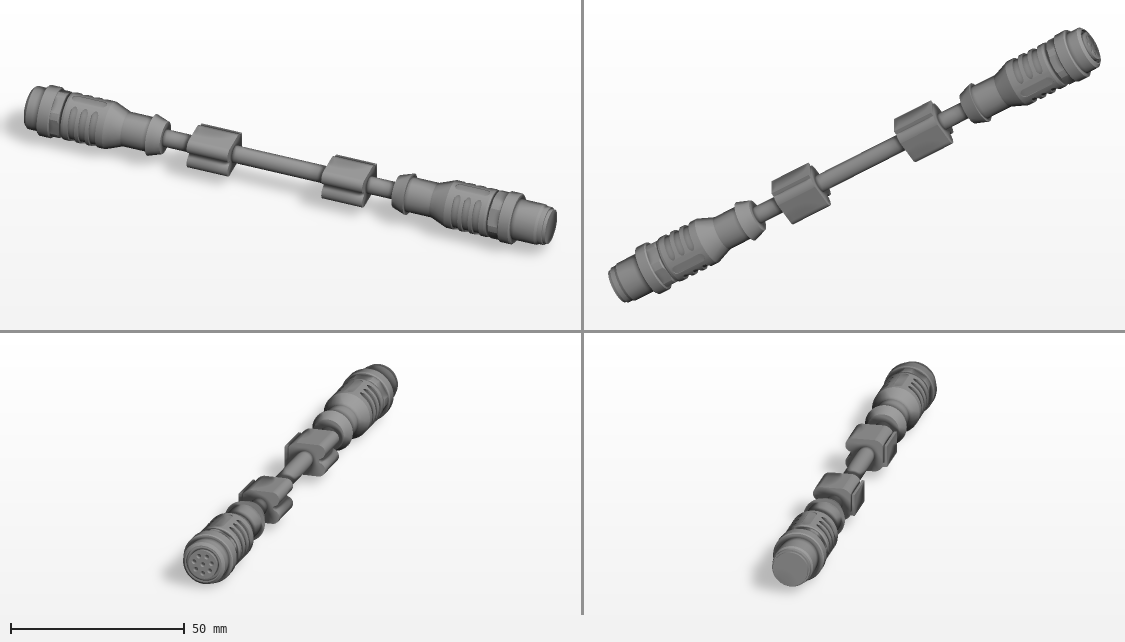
import cadquery as cq
import math

LENGTH = 160.0
CABLE_DIA = 5.1

PLUG_START = 41.8
MALE_PLUG_START = 47.2
FLARE_SMALL_DIA = 9.6
FLARE_DIA = 12.3
BODY_DIA = 10.2
GRIP_DIA = 14.0
FLARE_LENGTH = 4.0
CONE_START = 11.8
GRIP_START = 16.8
GRIP_END = 29.6
GRIP_CHAMFER_LENGTH = 0.6
GRIP_CHAMFER_DEPTH = 0.2
NECK_DIA = 8.6

RECESS_CENTER = 23.2
RIB_PITCH = 3.2
RIB_COUNT = 3
RIB_WIDTH = 2.0
RIB_DEPTH = 0.6
RIB_HALF_LENGTH = 6.4
PAD_LENGTH = 10.5
PAD_WIDTH = 2.7
PAD_DEPTH = 0.3

HEX_FLATS = 13.1
HEX_CORNER_DIA = 14.0
HEX_CHAMFER = 0.3
COLLAR_DIA = 15.0
COLLAR_CHAMFER = 0.3
FEMALE_HEX_START = 30.4
FEMALE_COLLAR_START = 33.1
FEMALE_COLLAR_END = 37.0
MALE_HEX_START = 30.0
MALE_COLLAR_START = 33.3
MALE_COLLAR_END = 37.0

SLEEVE_DIA = 12.8
SLEEVE_SETBACK = 0.5
SLEEVE_CHAMFER = 0.8
SLEEVE_BORE_DIA = 10.5
SEAL_DEPTH = 0.8
INSERT_DIA = 8.6
CONTACT_DIA = 0.85
CONTACT_MOUTH_DIA = 1.5
CONTACT_CIRCLE_DIA = 5.5
CONTACT_COUNT = 7
CONTACT_DEPTH = 4.8

THREAD_DIA = 12.0
LEAD_DIA = 11.2
TIP_DIA = 10.2
THREAD_SETBACK = 3.2
LEAD_SETBACK = 2.4
TIP_SETBACK = 1.0

CLIP_STARTS = (50.5, 91.8)
CLIP_LENGTH = 12.5
CLIP_HEIGHT = 9.6
CLIP_WIDTH = 12.3
LOBE_RADIUS = 2.0
MOUTH_HALF_HEIGHT = 0.72
MOUTH_EDGE_DEPTH = 1.3
MOUTH_DEPTH = 2.0
SHOULDER_Y = 2.5
SHOULDER_BULGE = 0.24
LABEL_SIDE_HALF_HEIGHT = 3.2
LABEL_SLOT_WIDTH = 0.5
LABEL_TAB_THICKNESS = 0.8
LABEL_SLOT_DEPTH = 5.5


def cylinder(start, end, diameter):
    """Solid cylinder on the X axis."""
    return cq.Workplane("YZ", origin=(start, 0, 0)).circle(diameter / 2).extrude(end - start)


def handle():
    """Moulded handle with its cable side at x = 0 and its grip towards +X."""
    outline = (
        cq.Workplane("XY")
        .lineTo(0, FLARE_SMALL_DIA / 2)
        .lineTo(FLARE_LENGTH, FLARE_DIA / 2)
        .lineTo(FLARE_LENGTH, BODY_DIA / 2)
        .lineTo(CONE_START, BODY_DIA / 2)
        .lineTo(GRIP_START, GRIP_DIA / 2)
        .lineTo(GRIP_END - GRIP_CHAMFER_LENGTH, GRIP_DIA / 2)
        .lineTo(GRIP_END, GRIP_DIA / 2 - GRIP_CHAMFER_DEPTH)
        .lineTo(GRIP_END, 0)
        .close()
    )
    body = outline.revolve(360, (0, 0, 0), (1, 0, 0))

    rib_centers = [
        (RECESS_CENTER + (i - (RIB_COUNT - 1) / 2) * RIB_PITCH, 0) for i in range(RIB_COUNT)
    ]
    grooves = (
        cq.Workplane("XZ")
        .pushPoints(rib_centers)
        .slot2D(2 * RIB_HALF_LENGTH, RIB_WIDTH, 90)
        .extrude(GRIP_DIA, both=True)
        .cut(cylinder(0, GRIP_END, GRIP_DIA - 2 * RIB_DEPTH))
    )

    pad = (
        cq.Workplane("XY", origin=(RECESS_CENTER, 0, GRIP_DIA / 2 - PAD_DEPTH))
        .slot2D(PAD_LENGTH, PAD_WIDTH)
        .extrude(GRIP_DIA)
    )
    return body.cut(grooves).cut(pad).cut(pad.mirror("XY"))


def coupling(hex_start, collar_start, collar_end, hex_turn):
    """Neck, hexagon and collar of a coupling nut, continuing a handle towards +X."""
    corners = HEX_FLATS / math.cos(math.radians(30))
    blank_outline = (
        cq.Workplane("XY", origin=(hex_start, 0, 0))
        .lineTo(0, HEX_CORNER_DIA / 2 - HEX_CHAMFER)
        .lineTo(HEX_CHAMFER, HEX_CORNER_DIA / 2)
        .lineTo(collar_start - hex_start, HEX_CORNER_DIA / 2)
        .lineTo(collar_start - hex_start, 0)
        .close()
    )
    blank = blank_outline.revolve(360, (0, 0, 0), (1, 0, 0))
    hexagon = (
        cq.Workplane("YZ", origin=(hex_start, 0, 0))
        .polygon(6, corners)
        .extrude(collar_start - hex_start)
        .rotate((0, 0, 0), (1, 0, 0), hex_turn)
    )
    neck = cylinder(GRIP_END, hex_start, NECK_DIA)
    collar = cylinder(collar_start, collar_end, COLLAR_DIA).edges("%CIRCLE").chamfer(COLLAR_CHAMFER)
    return neck.union(blank.intersect(hexagon)).union(collar)


def female_front():
    """Sleeve, sealing ring and contact insert, facing -X with the insert face at x = 0."""
    seal_floor = SLEEVE_SETBACK + SEAL_DEPTH
    seal_radius = (SLEEVE_BORE_DIA - INSERT_DIA) / 4
    outline = (
        cq.Workplane("XY")
        .lineTo(0, INSERT_DIA / 2)
        .lineTo(seal_floor, INSERT_DIA / 2)
        .threePointArc(
            (seal_floor - seal_radius, INSERT_DIA / 2 + seal_radius),
            (seal_floor, SLEEVE_BORE_DIA / 2),
        )
        .lineTo(SLEEVE_SETBACK, SLEEVE_BORE_DIA / 2)
        .lineTo(SLEEVE_SETBACK, SLEEVE_DIA / 2 - SLEEVE_CHAMFER)
        .lineTo(SLEEVE_SETBACK + SLEEVE_CHAMFER, SLEEVE_DIA / 2)
        .lineTo(PLUG_START - FEMALE_COLLAR_END, SLEEVE_DIA / 2)
        .lineTo(PLUG_START - FEMALE_COLLAR_END, 0)
        .close()
    )
    front = outline.revolve(360, (0, 0, 0), (1, 0, 0))

    countersink_depth = (CONTACT_MOUTH_DIA - CONTACT_DIA) / 2
    contact = (
        cq.Workplane("XY")
        .lineTo(0, CONTACT_MOUTH_DIA / 2)
        .lineTo(countersink_depth, CONTACT_DIA / 2)
        .lineTo(CONTACT_DEPTH, CONTACT_DIA / 2)
        .lineTo(CONTACT_DEPTH, 0)
        .close()
        .revolve(360, (0, 0, 0), (1, 0, 0))
    )
    front = front.cut(contact)
    for i in range(CONTACT_COUNT):
        outer_contact = contact.translate((0, 0, -CONTACT_CIRCLE_DIA / 2))
        front = front.cut(outer_contact.rotate((0, 0, 0), (1, 0, 0), i * 360 / CONTACT_COUNT))
    return front


def male_front():
    """Threaded nose with a tapered lead and a smaller tip, ending at x = LENGTH."""
    outline = (
        cq.Workplane("XY", origin=(LENGTH, 0, 0))
        .lineTo(0, TIP_DIA / 2)
        .lineTo(-TIP_SETBACK, TIP_DIA / 2)
        .lineTo(-TIP_SETBACK, LEAD_DIA / 2)
        .lineTo(-LEAD_SETBACK, LEAD_DIA / 2)
        .lineTo(-THREAD_SETBACK, THREAD_DIA / 2)
        .lineTo(MALE_COLLAR_END - MALE_PLUG_START, THREAD_DIA / 2)
        .lineTo(MALE_COLLAR_END - MALE_PLUG_START, 0)
        .close()
    )
    return outline.revolve(360, (0, 0, 0), (1, 0, 0))


def label_clip(start):
    """Clip round the cable: jaw lobes and a mouth on -Y, a label slot behind a tab on +Y."""
    half_height = CLIP_HEIGHT / 2
    jaw_y = -CLIP_WIDTH / 2
    lobe_y = jaw_y + LOBE_RADIUS
    lobe_z = half_height - LOBE_RADIUS
    tab_y = CLIP_WIDTH / 2
    slot_outer_y = tab_y - LABEL_TAB_THICKNESS
    slot_inner_y = slot_outer_y - LABEL_SLOT_WIDTH
    tab_z = LABEL_SIDE_HALF_HEIGHT
    slot_floor_z = tab_z - LABEL_SLOT_DEPTH
    shoulder_mid = (
        (SHOULDER_Y + slot_inner_y) / 2 + SHOULDER_BULGE,
        (half_height + tab_z) / 2 + SHOULDER_BULGE,
    )
    profile = (
        cq.Workplane("YZ", origin=(start, 0, 0))
        .moveTo(lobe_y, half_height)
        .threePointArc((jaw_y, lobe_z), (jaw_y + MOUTH_EDGE_DEPTH, MOUTH_HALF_HEIGHT))
        .threePointArc((jaw_y + MOUTH_DEPTH, 0), (jaw_y + MOUTH_EDGE_DEPTH, -MOUTH_HALF_HEIGHT))
        .threePointArc((jaw_y, -lobe_z), (lobe_y, -half_height))
        .lineTo(SHOULDER_Y, -half_height)
        .threePointArc((shoulder_mid[0], -shoulder_mid[1]), (slot_inner_y, -tab_z))
        .lineTo(tab_y, -tab_z)
        .lineTo(tab_y, tab_z)
        .lineTo(slot_outer_y, tab_z)
        .lineTo(slot_outer_y, slot_floor_z)
        .lineTo(slot_inner_y, slot_floor_z)
        .lineTo(slot_inner_y, tab_z)
        .threePointArc(shoulder_mid, (SHOULDER_Y, half_height))
        .close()
    )
    return profile.extrude(CLIP_LENGTH)


female_plug = (
    handle()
    .union(coupling(FEMALE_HEX_START, FEMALE_COLLAR_START, FEMALE_COLLAR_END, 30))
    .mirror("YZ")
    .translate((PLUG_START, 0, 0))
    .union(female_front())
)
male_plug = (
    handle()
    .union(coupling(MALE_HEX_START, MALE_COLLAR_START, MALE_COLLAR_END, 0))
    .translate((LENGTH - MALE_PLUG_START, 0, 0))
    .union(male_front())
)

result = cylinder(PLUG_START, LENGTH - MALE_PLUG_START, CABLE_DIA).union(female_plug).union(male_plug)
for clip_start in CLIP_STARTS:
    result = result.union(label_clip(clip_start))